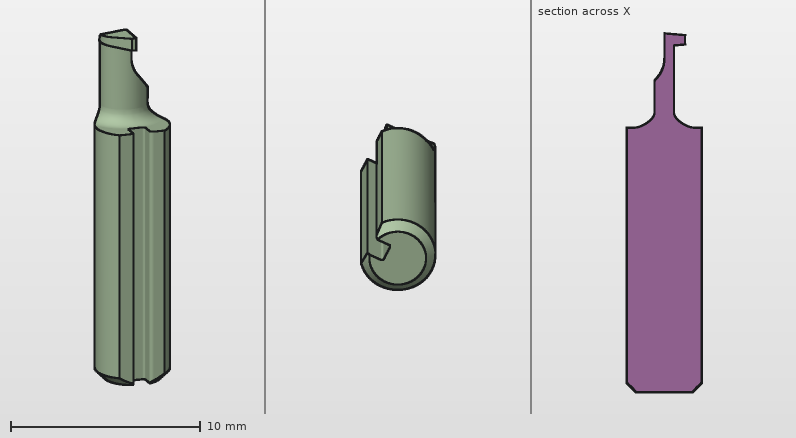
import cadquery as cq
import math

shank_radius = 2.0
total_height = 19.0
shoulder_height = 14.0
flat_x = 1.55
base_chamfer = 0.5

slot_width = 0.95
slot_floor_x = 0.64
slot_corner_radius = 0.12
slot_lip_radius = 0.2

neck_center_x = -1.4
neck_radius = 1.29
neck_fillet = 0.8

head_thickness = 0.7
tip_x = slot_floor_x
tip_land = 0.25
back_arc_x = -0.22
back_arc_center_x = -1.0
head_chamfer = 1.03
clearance_angle = 5.0

ramp_angle = 40.0
gullet_radius = 1.5
ramp_foot_z = 15.57

margin = 3 * shank_radius


def make_slot():
    """Through slot open toward +X, with rounded floor corners."""
    return (
        cq.Workplane("XY")
        .box(margin, slot_width, total_height, centered=(False, True, False))
        .edges("|Z and <X")
        .fillet(slot_corner_radius)
        .translate((slot_floor_x, 0, 0))
    )


def make_shank():
    """Round bar with a chamfered base, a flat on +X, and the slot rounded at its +Y lip."""
    bar = cq.Workplane("XY").circle(shank_radius).extrude(shoulder_height)
    bar = bar.faces("<Z").chamfer(base_chamfer)
    beyond_flat = cq.Workplane("XY").box(margin, margin, total_height, centered=(False, True, False))
    bar = bar.cut(beyond_flat.translate((flat_x, 0, 0))).cut(make_slot())
    lip_middle = (flat_x, slot_width / 2, shoulder_height / 2)
    return bar.edges(cq.NearestToPointSelector(lip_middle)).fillet(slot_lip_radius)


def make_neck():
    """Neck with a fillet flaring out onto the shoulder, made as a revolved profile."""
    flare_radius = neck_radius + neck_fillet
    flare_z = shoulder_height + neck_fillet
    diagonal = neck_fillet * math.sqrt(0.5)
    return (
        cq.Workplane("XZ")
        .moveTo(0, shoulder_height)
        .lineTo(flare_radius, shoulder_height)
        .threePointArc((flare_radius - diagonal, flare_z - diagonal), (neck_radius, flare_z))
        .lineTo(neck_radius, total_height)
        .lineTo(0, total_height)
        .close()
        .revolve(360, (0, 0, 0), (0, 1, 0))
        .translate((neck_center_x, 0, 0))
    )


def sloped_slab(bottom_z, top_z):
    """Slab whose heights hold at y = 0; its faces converge toward -Y at the clearance angle."""
    run = margin * math.tan(math.radians(clearance_angle))
    return (
        cq.Workplane("YZ")
        .polyline([(0, bottom_z), (0, top_z), (-margin, top_z - run), (-margin, bottom_z + run)])
        .close()
        .extrude(margin, both=True)
    )


def make_head():
    """Cutting head: land at the tip, 45 degree back face, then a tangent arc."""
    back_arc_y = -(tip_land + tip_x - back_arc_x)
    arc_offset = back_arc_x - back_arc_center_x
    arc_radius = arc_offset * math.sqrt(2)
    arc_center_y = back_arc_y + arc_offset
    outline = (
        cq.Workplane("XY")
        .moveTo(tip_x, 0)
        .lineTo(tip_x, -tip_land)
        .lineTo(back_arc_x, back_arc_y)
        .threePointArc(
            (back_arc_center_x, arc_center_y - arc_radius),
            (back_arc_center_x - arc_offset, back_arc_y),
        )
        .lineTo(-shank_radius, arc_center_y)
        .lineTo(-shank_radius, 0)
        .close()
        .extrude(total_height)
    )
    return outline.intersect(sloped_slab(total_height - head_thickness, total_height))


def make_gullet():
    """Material removed above the ramp and in front of the rake face."""
    angle = math.radians(ramp_angle)
    bend_y = gullet_radius * (1 - math.cos(angle))
    bend_z = ramp_foot_z + (neck_radius - bend_y) / math.tan(angle)
    start_z = bend_z + gullet_radius * math.sin(angle)
    mid_y = gullet_radius * (1 - math.cos(angle / 2))
    mid_z = start_z - gullet_radius * math.sin(angle / 2)
    return (
        cq.Workplane("YZ")
        .moveTo(0, total_height)
        .lineTo(0, start_z)
        .threePointArc((mid_y, mid_z), (bend_y, bend_z))
        .lineTo(neck_radius, ramp_foot_z)
        .lineTo(margin, ramp_foot_z)
        .lineTo(margin, total_height)
        .close()
        .extrude(margin, both=True)
    )


def make_top_relief():
    """Material above the chamfered top, swept toward -Y and down by the clearance angle."""
    drop = margin * math.tan(math.radians(clearance_angle))
    chamfer_x = head_chamfer - shank_radius

    def section(y, z):
        return cq.Wire.makePolygon(
            [
                cq.Vector(tip_x + margin, y, z),
                cq.Vector(chamfer_x, y, z),
                cq.Vector(chamfer_x - margin, y, z - margin),
                cq.Vector(chamfer_x - margin, y, z + margin),
                cq.Vector(tip_x + margin, y, z + margin),
            ],
            close=True,
        )

    front = section(-margin, total_height - drop)
    rake = section(0, total_height)
    return cq.Workplane(cq.Solid.makeLoft([front, rake], True))


envelope = cq.Workplane("XY").circle(shank_radius).extrude(total_height)

tool_end = make_neck().union(make_head()).intersect(envelope)
tool_end = tool_end.cut(make_gullet()).cut(make_top_relief())
result = make_shank().union(tool_end.cut(make_slot()))